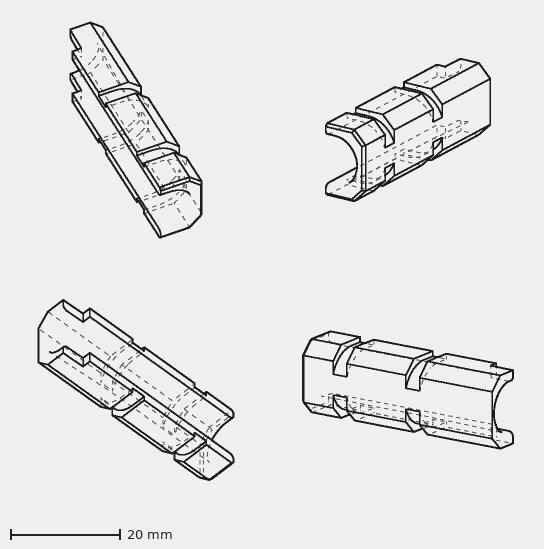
import cadquery as cq
import math

length = 42.0
height = 14.0
rise = 0.95
back_y = 6.0
split_y = -2.5
corner_chamfer = 2.5
end_chamfer = 0.5

step_length = 5.0
step_y = -0.6

groove_starts = [16.0, 32.0]
groove_width = 3.0
groove_core_radius = 6.0
groove_axis_y = 0.35

bore_radius = 4.75
bore_mouth_radius = 1.0
ridge_x = 16.8
crest_half_width = 2.23
crest_clearance = 0.001

slope = rise / length
tilt = math.degrees(math.atan(slope))
ridge_y = -slope * ridge_x
overrun = 4.2


def block(x_min, x_max, y_min, y_max):
    """Box of generous height, symmetric about Z = 0."""
    return (
        cq.Workplane("XY")
        .box(x_max - x_min, y_max - y_min, 2 * height, centered=(False, False, True))
        .translate((x_min, y_min, 0))
    )


def tilted_bar(profile, angle, pivot_x=0.0, pivot_y=0.0):
    """Extrude a YZ profile along X and swing it about a vertical line."""
    bar = profile.extrude(2 * (length + overrun), both=True)
    return bar.rotate((0, 0, 0), (0, 0, 1), angle).translate((pivot_x, pivot_y, 0))


def channel(radius, depth):
    """U-shaped YZ profile: a half circle about the axis, open towards -Y."""
    return (
        cq.Workplane("YZ")
        .moveTo(-depth, -radius)
        .lineTo(0, -radius)
        .threePointArc((radius, 0), (0, radius))
        .lineTo(-depth, radius)
        .close()
    )


def make_body():
    half = height / 2
    profile = (
        cq.Workplane("YZ")
        .moveTo(split_y, -half)
        .lineTo(back_y - corner_chamfer, -half)
        .lineTo(back_y, -half + corner_chamfer)
        .lineTo(back_y, half - corner_chamfer)
        .lineTo(back_y - corner_chamfer, half)
        .lineTo(split_y, half)
        .close()
    )
    bar = tilted_bar(profile, tilt)
    body = bar.intersect(block(0, length, -height, height))
    right_edges = body.faces(">X").edges("not(<Y)")
    return right_edges.chamfer(end_chamfer)


def make_groove(start):
    core = tilted_bar(channel(groove_core_radius, height), tilt, 0, groove_axis_y)
    return block(start, start + groove_width, -height, height).cut(core)


def make_bore():
    left_run = tilted_bar(channel(bore_radius, height), -tilt, ridge_x, ridge_y)
    right_run = tilted_bar(channel(bore_radius, height), tilt, ridge_x, ridge_y)
    left_run = left_run.intersect(block(-overrun, ridge_x, -height, height))
    right_run = right_run.intersect(block(ridge_x, length + overrun, -height, height))
    return left_run.union(right_run)


def make_crest():
    """Lens-shaped cut that eases the shallow ridge between the bore runs.

    An elliptical bar along X stands just proud of the ridge and dies out in the
    falling walls on either side of it.
    """
    half_depth = bore_radius + slope * crest_half_width
    half_height = bore_radius - crest_clearance
    bar_length = 3 * crest_half_width
    bar = cq.Workplane("YZ").ellipse(half_depth, half_height).extrude(bar_length)
    return bar.translate((ridge_x - bar_length / 2, ridge_y, 0))


def round_bore_mouths(sleeve):
    """Round the bore edge, including its straight sides, on both end faces."""
    mouth_half_height = bore_radius + bore_mouth_radius / 2
    mouth_region = cq.selectors.BoxSelector(
        (-overrun, -height, -mouth_half_height), (length + overrun, bore_radius, mouth_half_height)
    )
    for end_face in ("<X", ">X"):
        sleeve = sleeve.faces(end_face).edges(mouth_region).fillet(bore_mouth_radius)
    return sleeve


result = make_body()
for start in groove_starts:
    result = result.cut(make_groove(start))
result = result.cut(make_bore())
result = round_bore_mouths(result)
result = result.cut(make_crest())
result = result.cut(block(-overrun, step_length, -height, step_y))